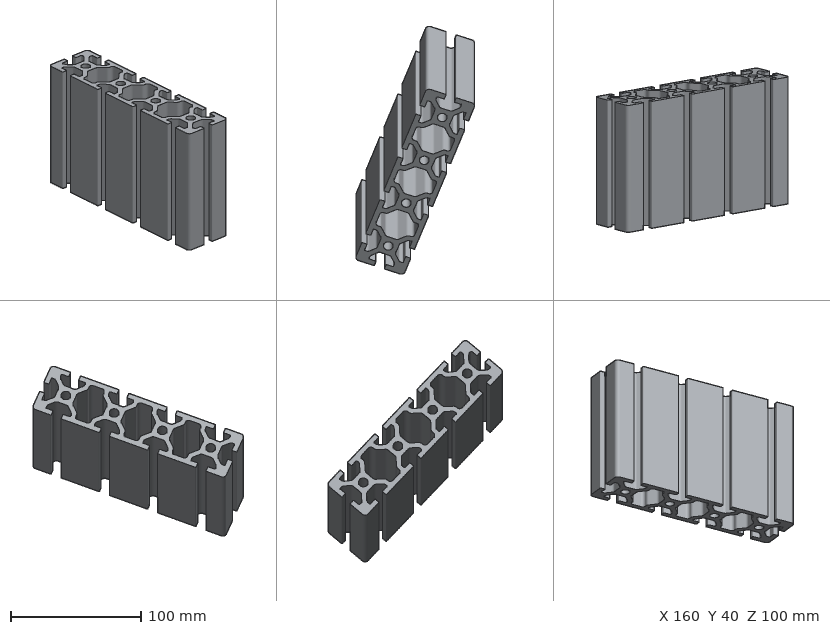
import cadquery as cq
import math

CELL = 40.0
CELL_COUNT = 4
LENGTH = 100.0
CORNER_RADIUS = 3.0

BORE_DIAMETER = 7.3
CORE_WIDTH = 15.0
LIP_THICKNESS = 4.2
WEB_THICKNESS = 4.0

SLOT_OPENING = 8.2
SLOT_INNER_WIDTH = 20.0
SLOT_FILLET = 3.0
SLOT_CORNER_FILLET = 0.5
LIP_EDGE_RADIUS = 0.5

SIDE_WALL = 3.8
CHAMBER_FILLET = 3.0
CHAMBER_CORNER_FILLET = 2.5

WIDTH = CELL * CELL_COUNT
HALF_CELL = CELL / 2
HALF_CORE = CORE_WIDTH / 2
LIP_INSIDE = HALF_CELL - LIP_THICKNESS
HALF_OPENING = SLOT_OPENING / 2
HALF_SLOT = SLOT_INNER_WIDTH / 2
HALF_CHAMBER_NECK = HALF_CELL - HALF_SLOT - SIDE_WALL
HALF_CHAMBER = HALF_CELL - HALF_CORE
WEB_OFFSET = WEB_THICKNESS / math.sqrt(2)

CELL_CENTRES = [(i - (CELL_COUNT - 1) / 2) * CELL for i in range(CELL_COUNT)]
CHAMBER_CENTRES = [x + HALF_CELL for x in CELL_CENTRES[:-1]]


def prism(points):
    """Extrude a closed polygon over the full length."""
    return cq.Workplane("XY").polyline(points).close().extrude(LENGTH)


def fillet_edges_at(body, corners, radius):
    """Round the lengthwise edges that stand on the given (x, y) corners."""
    for x, y in corners:
        nearest = cq.selectors.NearestToPointSelector((x, y, LENGTH / 2))
        body = body.edges("|Z").edges(nearest).fillet(radius)
    return body


def mirrored(corners, x_signs=(1, -1), y_signs=(1, -1)):
    """The corners and their mirror images for the given axis signs."""
    return [(sx * x, sy * y) for x, y in corners for sx in x_signs for sy in y_signs]


def make_slot():
    """T-slot void of a cell centred on the origin, opening towards +Y."""
    floor_corner = (HALF_CORE - WEB_OFFSET, HALF_CORE)
    wall_corner = (HALF_SLOT, HALF_SLOT + WEB_OFFSET)
    inner_corner = (HALF_SLOT, LIP_INSIDE)
    lip_corner = (HALF_OPENING, LIP_INSIDE)
    right_side = [
        floor_corner,
        wall_corner,
        inner_corner,
        lip_corner,
        (HALF_OPENING, HALF_CELL),
    ]
    left_side = [(-x, y) for x, y in reversed(right_side)]
    body = prism(right_side + left_side)
    for corners, radius in (
        ([floor_corner, wall_corner], SLOT_FILLET),
        ([inner_corner], SLOT_CORNER_FILLET),
        ([lip_corner], LIP_EDGE_RADIUS),
    ):
        body = fillet_edges_at(body, mirrored(corners, y_signs=(1,)), radius)
    return body


def make_chamber():
    """Closed void between two neighbouring cells, centred on the origin."""
    core_corner = (HALF_CHAMBER, HALF_CORE - WEB_OFFSET)
    neck_corner = (HALF_CHAMBER_NECK, HALF_CELL - HALF_CHAMBER_NECK - WEB_OFFSET)
    end_corner = (HALF_CHAMBER_NECK, LIP_INSIDE)
    upper_right = [core_corner, neck_corner, end_corner]
    upper = upper_right + [(-x, y) for x, y in reversed(upper_right)]
    lower = [(x, -y) for x, y in reversed(upper)]
    body = prism(upper + lower)
    body = fillet_edges_at(body, mirrored([core_corner, neck_corner]), CHAMBER_FILLET)
    return fillet_edges_at(body, mirrored([end_corner]), CHAMBER_CORNER_FILLET)


def place_slot(slot, cell_x, turn):
    """Turn a slot about its cell axis, then move it to the cell."""
    return slot.rotate((0, 0, 0), (0, 0, 1), turn).translate((cell_x, 0, 0))


result = cq.Workplane("XY").rect(WIDTH, CELL).extrude(LENGTH)
result = result.edges("|Z").fillet(CORNER_RADIUS)

slot = make_slot()
for cell_x in CELL_CENTRES:
    result = result.cut(place_slot(slot, cell_x, 0))
    result = result.cut(place_slot(slot, cell_x, 180))
result = result.cut(place_slot(slot, CELL_CENTRES[0], 90))
result = result.cut(place_slot(slot, CELL_CENTRES[-1], -90))

long_side_lips = [(x + HALF_OPENING, HALF_CELL) for x in CELL_CENTRES]
long_side_lips += [(x - HALF_OPENING, HALF_CELL) for x in CELL_CENTRES]
end_lips = [(WIDTH / 2, HALF_OPENING)]
outer_lip_edges = mirrored(long_side_lips, x_signs=(1,)) + mirrored(end_lips)
result = fillet_edges_at(result, outer_lip_edges, LIP_EDGE_RADIUS)

chamber = make_chamber()
for chamber_x in CHAMBER_CENTRES:
    result = result.cut(chamber.translate((chamber_x, 0, 0)))

bores = cq.Workplane("XY").pushPoints([(x, 0) for x in CELL_CENTRES])
result = result.cut(bores.circle(BORE_DIAMETER / 2).extrude(LENGTH))